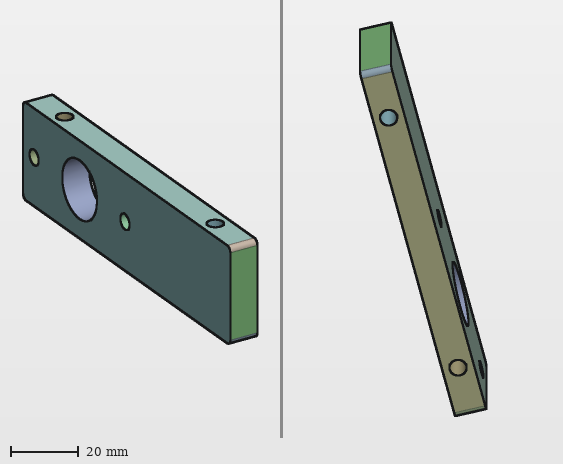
import cadquery as cq

length = 115.9
thickness = 9.5
height = 32.3
corner_radius = 1.7

bore_diameter = 19.4
bore_x = 31.6
screw_diameter = 5.1
screw_offset = 25.4

cross_diameter = 5.1
cross_spacing = 84.1
first_cross_x = 15.8


def face_hole(x, diameter):
    """Cylinder running along Y through the plate."""
    return (
        cq.Workplane("XZ", origin=(x, 0, height / 2))
        .circle(diameter / 2)
        .extrude(-thickness)
    )


def cross_hole(x, diameter):
    """Cylinder running along Z through the plate."""
    return (
        cq.Workplane("XY", origin=(x, thickness / 2, 0))
        .circle(diameter / 2)
        .extrude(height)
    )


plate = cq.Workplane("XY").box(length, thickness, height, centered=False)
result = plate.edges("|Y").fillet(corner_radius)

result = result.cut(face_hole(bore_x, bore_diameter))
for x in (bore_x - screw_offset, bore_x + screw_offset):
    result = result.cut(face_hole(x, screw_diameter))

for x in (first_cross_x, first_cross_x + cross_spacing):
    result = result.cut(cross_hole(x, cross_diameter))